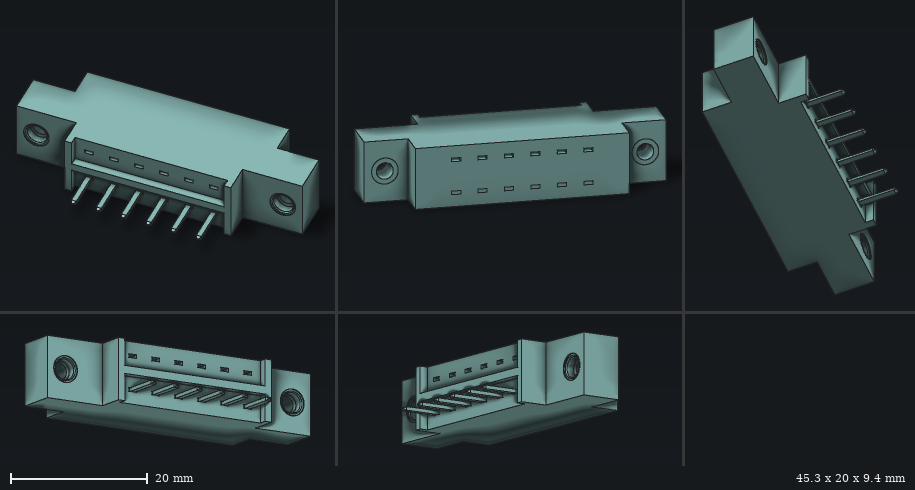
import cadquery as cq


overall_width = 45.31
height = 9.4
total_depth = 20.02

pin_reach = 4.76
rear_y = total_depth - pin_reach
wing_front_y = 4.36
wing_rear_y = 10.64

body_width = 32.07
shroud_width = 26.35

recess_width = 24.16
recess_depth = 1.3
divider_thickness = 1.22

contact_count = 6
contact_pitch = 3.96
row_spacing = 5.08
slot_width = 1.36
slot_height = 0.55
pin_width = 0.84
shoulder_setback = 0.2
shoulder_length = 0.8
tip_length = 0.44
tip_width = 0.4
tip_height = 0.14

eyelet_offset = 19.52
eyelet_diameter = 4.0
eyelet_setback = 0.15
mouth_diameter = 3.45
bore_diameter = 3.1
mouth_depth = 0.2
bore_depth = 1.4
taper_depth = 0.3
through_diameter = 2.5

contact_xs = [(i - (contact_count - 1) / 2) * contact_pitch for i in range(contact_count)]
eyelet_xs = [-eyelet_offset, eyelet_offset]
upper_row_z = row_spacing / 2
lower_row_z = -row_spacing / 2


def make_housing():
    outline = [
        (-shroud_width / 2, 0),
        (shroud_width / 2, 0),
        (shroud_width / 2, wing_front_y),
        (overall_width / 2, wing_front_y),
        (overall_width / 2, wing_rear_y),
        (body_width / 2, wing_rear_y),
        (body_width / 2, rear_y),
        (-body_width / 2, rear_y),
        (-body_width / 2, wing_rear_y),
        (-overall_width / 2, wing_rear_y),
        (-overall_width / 2, wing_front_y),
        (-shroud_width / 2, wing_front_y),
    ]
    housing = cq.Workplane("XY").polyline(outline).close().extrude(height / 2, both=True)

    recess_height = (height - divider_thickness) / 2
    recess_z = (height + divider_thickness) / 4
    for z in (recess_z, -recess_z):
        recess = cq.Workplane("XY").box(recess_width, recess_depth, recess_height)
        housing = housing.cut(recess.translate((0, recess_depth / 2, z)))

    slot_length = rear_y - recess_depth
    for z in (upper_row_z, lower_row_z):
        for x in contact_xs:
            slot = cq.Workplane("XY").box(slot_width, slot_length, slot_height)
            housing = housing.cut(slot.translate((x, recess_depth + slot_length / 2, z)))

    for x in eyelet_xs:
        hole = cq.Workplane("XZ", origin=(x, 0, 0)).circle(eyelet_diameter / 2).extrude(-rear_y)
        housing = housing.cut(hole)
    return housing


def make_eyelet(x):
    front = wing_front_y + eyelet_setback
    taper_start = front + bore_depth
    profile = [
        (mouth_diameter / 2, front),
        (eyelet_diameter / 2, front),
        (eyelet_diameter / 2, wing_rear_y),
        (through_diameter / 2, wing_rear_y),
        (through_diameter / 2, taper_start + taper_depth),
        (bore_diameter / 2, taper_start),
        (bore_diameter / 2, front + mouth_depth),
    ]
    eyelet = cq.Workplane("XY").polyline(profile).close().revolve(360, (0, 0, 0), (0, 1, 0))
    return eyelet.translate((x, 0, 0))


def make_pin(x):
    shoulder_front_y = recess_depth + shoulder_setback
    shoulder_rear_y = shoulder_front_y + shoulder_length
    tip_base_y = tip_length - pin_reach
    blade_outline = [
        (-slot_width / 2, rear_y),
        (-slot_width / 2, shoulder_rear_y),
        (-pin_width / 2, shoulder_front_y),
        (-pin_width / 2, tip_base_y),
        (pin_width / 2, tip_base_y),
        (pin_width / 2, shoulder_front_y),
        (slot_width / 2, shoulder_rear_y),
        (slot_width / 2, rear_y),
    ]
    blade = cq.Workplane("XY").polyline(blade_outline).close().extrude(slot_height / 2, both=True)
    tip = (
        cq.Workplane("XZ", origin=(0, tip_base_y, 0))
        .rect(pin_width, slot_height)
        .workplane(offset=tip_length)
        .rect(tip_width, tip_height)
        .loft()
    )
    return blade.union(tip).translate((x, 0, lower_row_z))


housing = make_housing()
eyelets = [make_eyelet(x) for x in eyelet_xs]
pins = [make_pin(x) for x in contact_xs]

result = cq.Compound.makeCompound([
    housing.val(),
    *[eyelet.val() for eyelet in eyelets],
    *[pin.val() for pin in pins],
])